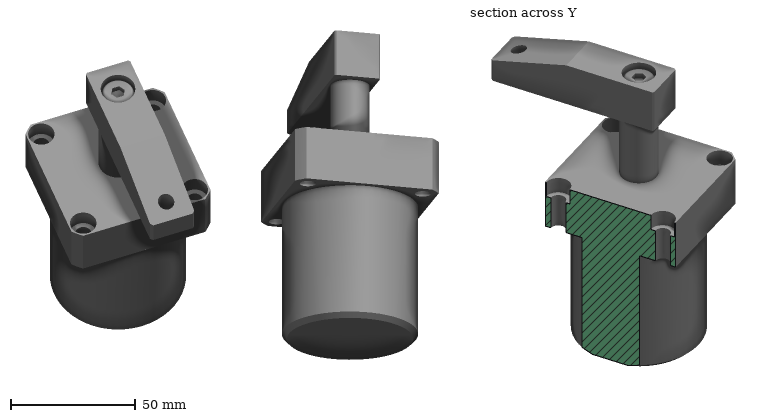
import cadquery as cq

TOTAL_HEIGHT = 127.0

FLANGE_SIDE = 60.0
FLANGE_CORNER_DIAMETER = 79.8
FLANGE_BOTTOM = 56.0
FLANGE_TOP = 78.0
BARREL_DIAMETER = 55.0
BARREL_CHAMFER = 2.0

MOUNT_PITCH = 48.0
MOUNT_HOLE_DIAMETER = 6.6
MOUNT_BORE_DIAMETER = 10.7
MOUNT_BORE_DEPTH = 7.0

ROD_DIAMETER = 15.9
ROD_DEPTH_IN_HOUSING = 22.0

ARM_WIDTH = 19.0
ARM_THICKNESS = 19.0
ARM_BACK_X = -12.0
ARM_TIP_X = 63.0
ARM_SLOPE_START_X = 28.2
ARM_TIP_HEIGHT = 9.8
ARM_TIP_CHAMFER = 1.0
ARM_BACK_CHAMFER = 0.6
TIP_HOLE_X = 55.1
TIP_HOLE_DIAMETER = 6.6
ARM_BORE_DIAMETER = 14.0
ARM_BORE_DEPTH = 10.5

HEAD_DIAMETER = 13.0
HEAD_HEIGHT = 8.4
HEAD_FILLET = 1.3
SHANK_DIAMETER = 8.0
SHANK_DEPTH_IN_ROD = 16.0
SOCKET_FLATS = 5.1
SOCKET_DEPTH = 2.5
SOCKET_CONE_DEPTH = 0.8

ARM_BOTTOM = TOTAL_HEIGHT - ARM_THICKNESS
HEAD_BOTTOM = TOTAL_HEIGHT - ARM_BORE_DEPTH
HEAD_TOP = HEAD_BOTTOM + HEAD_HEIGHT
SHANK_BOTTOM = ARM_BOTTOM - SHANK_DEPTH_IN_ROD
ROD_BOTTOM = FLANGE_TOP - ROD_DEPTH_IN_HOUSING


def cylinder(diameter, bottom, top):
    """Upright cylinder on the Z axis."""
    return cq.Workplane("XY").workplane(offset=bottom).circle(diameter / 2).extrude(top - bottom)


def make_housing():
    """Chamfered barrel under a flange whose corners are turned to a circle."""
    flange_height = FLANGE_TOP - FLANGE_BOTTOM
    flange = (
        cq.Workplane("XY")
        .workplane(offset=FLANGE_BOTTOM)
        .rect(FLANGE_SIDE, FLANGE_SIDE)
        .extrude(flange_height)
        .intersect(cylinder(FLANGE_CORNER_DIAMETER, FLANGE_BOTTOM, FLANGE_TOP))
        .faces(">Z")
        .workplane()
        .rect(MOUNT_PITCH, MOUNT_PITCH, forConstruction=True)
        .vertices()
        .cboreHole(MOUNT_HOLE_DIAMETER, MOUNT_BORE_DIAMETER, MOUNT_BORE_DEPTH, flange_height)
    )
    barrel = cylinder(BARREL_DIAMETER, 0, FLANGE_BOTTOM).faces("<Z").chamfer(BARREL_CHAMFER)
    rod_hole = cylinder(ROD_DIAMETER, ROD_BOTTOM, FLANGE_TOP)
    return barrel.union(flange).cut(rod_hole)


def make_rod():
    """Plain rod with a screw hole in its upper end."""
    screw_hole = cylinder(SHANK_DIAMETER, SHANK_BOTTOM, ARM_BOTTOM)
    return cylinder(ROD_DIAMETER, ROD_BOTTOM, ARM_BOTTOM).cut(screw_hole)


def make_arm():
    """Bar that slopes down to its tip, counterbored for the screw head."""
    side_profile = [
        (ARM_BACK_X, ARM_BOTTOM),
        (ARM_TIP_X, ARM_BOTTOM),
        (ARM_TIP_X, ARM_BOTTOM + ARM_TIP_HEIGHT),
        (ARM_SLOPE_START_X, TOTAL_HEIGHT),
        (ARM_BACK_X, TOTAL_HEIGHT),
    ]
    bar = (
        cq.Workplane("XZ")
        .polyline(side_profile)
        .close()
        .extrude(ARM_WIDTH / 2, both=True)
        .edges("|Z and <X")
        .chamfer(ARM_BACK_CHAMFER)
        .edges("|Z and >X")
        .chamfer(ARM_TIP_CHAMFER)
    )
    tip_hole = cylinder(TIP_HOLE_DIAMETER, ARM_BOTTOM, TOTAL_HEIGHT).translate((TIP_HOLE_X, 0, 0))
    shank_hole = cylinder(SHANK_DIAMETER, ARM_BOTTOM, TOTAL_HEIGHT)
    head_bore = cylinder(ARM_BORE_DIAMETER, HEAD_BOTTOM, TOTAL_HEIGHT)
    return bar.cut(tip_hole).cut(shank_hole).cut(head_bore)


def make_socket():
    """Hexagonal screw socket, one corner pointing along +Y, with a conical floor."""
    floor = HEAD_TOP - SOCKET_DEPTH
    hexagon = (
        cq.Workplane("XY")
        .workplane(offset=floor)
        .polygon(6, SOCKET_FLATS, circumscribed=True)
        .extrude(SOCKET_DEPTH)
    )
    cone = (
        cq.Workplane("XZ")
        .polyline([(0, floor), (SOCKET_FLATS / 2, floor), (0, floor - SOCKET_CONE_DEPTH)])
        .close()
        .revolve(360, (0, 0), (0, 1))
    )
    return hexagon.union(cone)


def make_screw():
    """Cap screw with a rounded head."""
    head = cylinder(HEAD_DIAMETER, HEAD_BOTTOM, HEAD_TOP).faces(">Z").edges().fillet(HEAD_FILLET)
    shank = cylinder(SHANK_DIAMETER, SHANK_BOTTOM, HEAD_BOTTOM)
    return head.union(shank).cut(make_socket())


housing = make_housing()
rod = make_rod()
arm = make_arm()
screw = make_screw()

result = cq.Compound.makeCompound([housing.val(), rod.val(), arm.val(), screw.val()])